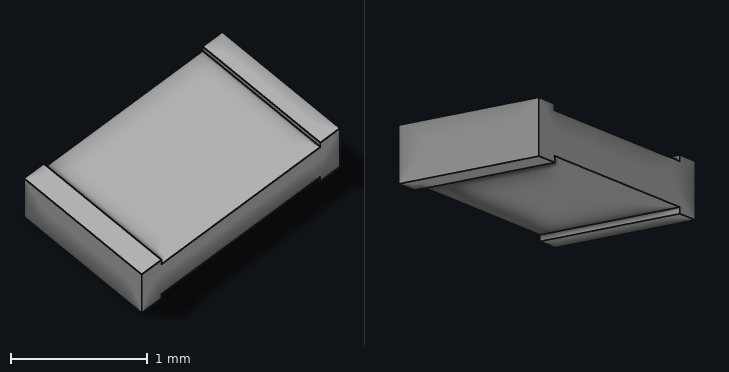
import cadquery as cq

width = 1.25
length = 2.0
height = 0.45

cap_length = 0.2
cap_step = 0.05

body_height = height - 2 * cap_step
cap_offset = (length - cap_length) / 2

result = cq.Workplane("XY").box(width, length, body_height)

for side in (-1, 1):
    cap = cq.Workplane("XY").box(width, cap_length, height).translate((0, side * cap_offset, 0))
    result = result.union(cap)

result = result.clean()